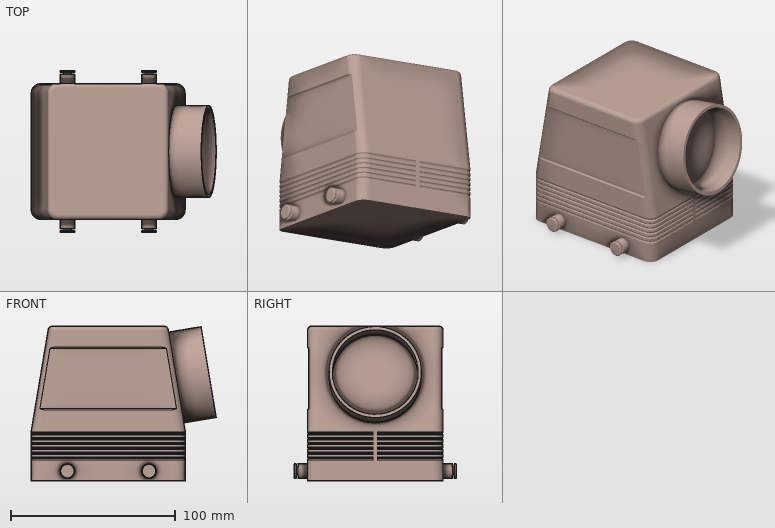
import cadquery as cq
import math

body_length = 93.5
body_width = 82.5
body_height = 94.0
taper_start_height = 30.5
taper_angle = math.radians(9.5)
corner_radius = 6.0
top_edge_radius = 2.75

recess_depth = 0.8
recess_bottom = 43.2
recess_top = 81.2
recess_ramp_rise = 0.8

groove_count = 6
groove_pitch = 3.0
groove_depth = 0.5
groove_floor = 0.5
groove_flank = 0.5
end_groove_flank = 0.8
lowest_groove_center = 13.75
groove_rib_width = 2.5
cutter_margin = 1.0

overall_width = 98.5
pin_spacing = 49.5
pin_height = 6.0
pin_diameter = 9.0
pin_neck_diameter = 5.0
pin_neck_length = 1.0
pin_head_length = 1.5
pin_head_chamfer = 0.4
pin_embed = 2.0

entry_diameter = 56.0
entry_bore_diameter = 52.0
entry_bore_depth = 20.0
entry_face_height = 66.1
overall_length = 112.36
entry_embed = 28.0

half_length = body_length / 2
half_width = body_width / 2


def make_body():
    """Block with tapered X walls, rounded corners and a rounded top edge."""
    top_half_length = half_length - (body_height - taper_start_height) * math.tan(taper_angle)
    body = (
        cq.Workplane("XZ")
        .polyline([
            (-half_length, 0),
            (half_length, 0),
            (half_length, taper_start_height),
            (top_half_length, body_height),
            (-top_half_length, body_height),
            (-half_length, taper_start_height),
        ])
        .close()
        .extrude(half_width, both=True)
    )
    body = body.edges("not (|X or |Y)").fillet(corner_radius)
    return body.faces(">Z").edges().fillet(top_edge_radius)


def make_recess(side):
    """Cutter across the full length of one Y wall, with a ramp at each end."""
    wall = side * half_width
    floor = side * (half_width - recess_depth)
    return (
        cq.Workplane("YZ")
        .polyline([
            (wall, recess_bottom),
            (floor, recess_bottom + recess_ramp_rise),
            (floor, recess_top - recess_ramp_rise),
            (wall, recess_top),
        ])
        .close()
        .extrude(half_length, both=True)
    )


def rounded_section(height, inset):
    """Base outline at the given height, moved inward by inset."""
    return (
        cq.Sketch()
        .rect(body_length - 2 * inset, body_width - 2 * inset)
        .vertices()
        .fillet(corner_radius - inset)
        .moved(cq.Location(cq.Vector(0, 0, height)))
    )


def make_slice(bottom, height, bottom_inset, top_inset):
    """Slice of the base whose outline shrinks or grows evenly with height."""
    bottom_section = rounded_section(bottom, bottom_inset)
    top_section = rounded_section(bottom + height, top_inset)
    return cq.Workplane("XY").placeSketch(bottom_section, top_section).loft()


def make_groove(center, lower_flank, upper_flank):
    """Trapezoidal ring groove, left uncut at the rib on each X wall."""
    floor_bottom = center - groove_floor / 2
    floor_top = center + groove_floor / 2
    bottom = floor_bottom - lower_flank
    height = lower_flank + groove_floor + upper_flank
    core = (
        make_slice(bottom, lower_flank, 0, groove_depth)
        .union(make_slice(floor_bottom, groove_floor, groove_depth, groove_depth))
        .union(make_slice(floor_top, upper_flank, groove_depth, 0))
    )
    base = cq.Workplane("XY").workplane(offset=bottom)
    cutter_length = body_length + 2 * cutter_margin
    cutter_width = body_width + 2 * cutter_margin
    ring = base.rect(cutter_length, cutter_width).extrude(height).cut(core)
    rib = base.rect(cutter_length, groove_rib_width).extrude(height)
    return ring.cut(rib)


def make_pin(x, side):
    """Headed pin standing out of one Y wall."""
    pin_end = overall_width / 2
    neck_end = pin_end - pin_head_length
    shaft_end = neck_end - pin_neck_length
    pin_radius = pin_diameter / 2
    neck_radius = pin_neck_diameter / 2
    chamfered_radius = pin_radius - pin_head_chamfer
    pin = (
        cq.Workplane("XY")
        .polyline([
            (0, half_width - pin_embed),
            (pin_radius, half_width - pin_embed),
            (pin_radius, shaft_end),
            (neck_radius, shaft_end),
            (neck_radius, neck_end),
            (chamfered_radius, neck_end),
            (pin_radius, neck_end + pin_head_chamfer),
            (pin_radius, pin_end - pin_head_chamfer),
            (chamfered_radius, pin_end),
            (0, pin_end),
        ])
        .close()
        .revolve(360, (0, 0), (0, 1))
    )
    if side < 0:
        pin = pin.mirror("XZ")
    return pin.translate((x, 0, pin_height))


def entry_plane():
    """Plane of the open end of the cable entry, facing outward along its axis."""
    face_x = overall_length - half_length - entry_diameter / 2 * math.sin(taper_angle)
    return cq.Plane(
        origin=(face_x, 0, entry_face_height),
        xDir=(0, 1, 0),
        normal=(math.cos(taper_angle), 0, math.sin(taper_angle)),
    )


body = make_body()

for side in (-1, 1):
    body = body.cut(make_recess(side))

for index in range(groove_count):
    lower_flank = end_groove_flank if index == 0 else groove_flank
    upper_flank = end_groove_flank if index == groove_count - 1 else groove_flank
    groove_center = lowest_groove_center + index * groove_pitch
    body = body.cut(make_groove(groove_center, lower_flank, upper_flank))

for side in (-1, 1):
    for x in (-pin_spacing / 2, pin_spacing / 2):
        body = body.union(make_pin(x, side))

entry = cq.Workplane(entry_plane()).circle(entry_diameter / 2).extrude(-entry_embed)
entry_bore = cq.Workplane(entry_plane()).circle(entry_bore_diameter / 2).extrude(-entry_bore_depth)

result = body.union(entry).cut(entry_bore)